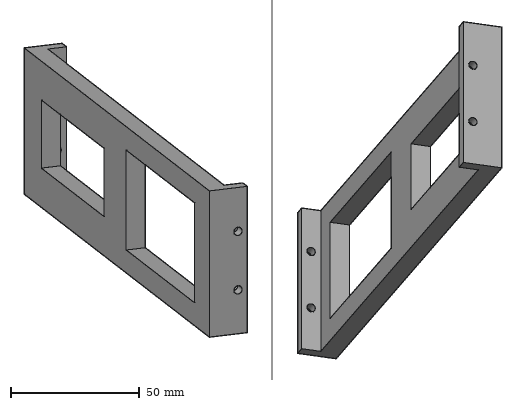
import cadquery as cq

length = 196.5
depth = 16.0
height = 60.0

plate_thickness = 8.0
flange_thickness = 5.0

small_window_width = 66.2
small_window_height = 28.0
small_window_left = 18.3
small_window_bottom = 16.1
large_window_width = 72.1
large_window_height = 40.9
large_window_left = 108.3
large_window_bottom = 9.5

hole_diameter = 3.3
hole_spacing = 24.0
hole_y = (plate_thickness + depth) / 2


def corner_box(size_x, size_y, size_z, x=0, y=0, z=0):
    """Box whose left, front, lower corner lies at (x, y, z)."""
    return cq.Workplane("XY").box(size_x, size_y, size_z, centered=False).translate((x, y, z))


body = corner_box(length, depth, height)
recess = corner_box(
    length - 2 * flange_thickness, depth - plate_thickness, height, x=flange_thickness, y=plate_thickness
)
body = body.cut(recess)

small_window = corner_box(
    small_window_width, plate_thickness, small_window_height, x=small_window_left, z=small_window_bottom
)
large_window = corner_box(
    large_window_width, plate_thickness, large_window_height, x=large_window_left, z=large_window_bottom
)
body = body.cut(small_window).cut(large_window)

holes = (
    cq.Workplane("YZ")
    .pushPoints([(hole_y, (height + side * hole_spacing) / 2) for side in (-1, 1)])
    .circle(hole_diameter / 2)
    .extrude(length)
)
result = body.cut(holes)